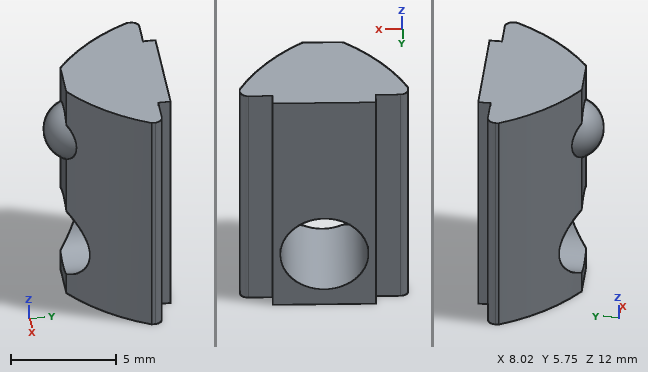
import cadquery as cq

length = 12.0
wing_width = 8.02
tab_width = 4.92
tab_height = 0.6
body_depth = 4.8
nose_width = 1.92
wing_edge_depth = 1.15
wing_radius = 0.38
flank_radius = 9.6

hole_diameter = 4.2
hole_height = length / 4

ball_diameter = 3.0
ball_height = length * 3 / 4
ball_tip_depth = 5.75


def make_body():
    """Slot nut profile with a narrow tab, two wings and curved flanks, extruded along Z."""
    half_tab = tab_width / 2
    half_wing = wing_width / 2
    half_nose = nose_width / 2
    profile = (
        cq.Workplane("XY")
        .moveTo(-half_tab, 0)
        .lineTo(half_tab, 0)
        .lineTo(half_tab, -tab_height)
        .lineTo(half_wing - wing_radius, -tab_height)
        .radiusArc((half_wing, -tab_height - wing_radius), wing_radius)
        .lineTo(half_wing, -wing_edge_depth)
        .radiusArc((half_nose, -body_depth), flank_radius)
        .lineTo(-half_nose, -body_depth)
        .radiusArc((-half_wing, -wing_edge_depth), flank_radius)
        .lineTo(-half_wing, -tab_height - wing_radius)
        .radiusArc((-half_wing + wing_radius, -tab_height), wing_radius)
        .lineTo(-half_tab, -tab_height)
        .close()
    )
    return profile.extrude(length)


def make_hole():
    """Round cutter that passes through the body along Y."""
    return (
        cq.Workplane("XZ")
        .center(0, hole_height)
        .circle(hole_diameter / 2)
        .extrude(body_depth)
    )


def make_ball():
    """Spring ball that stands out of the nose."""
    radius = ball_diameter / 2
    return cq.Workplane("XY").sphere(radius).translate((0, radius - ball_tip_depth, ball_height))


result = make_body().cut(make_hole()).union(make_ball())